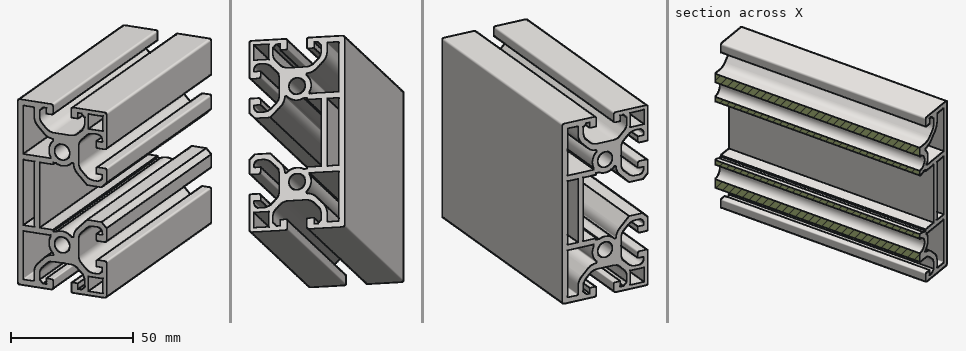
import cadquery as cq
import math

LENGTH = 100.0
WIDTH = 40.0
HEIGHT = 80.0

HALF_WIDTH = WIDTH / 2
HALF_HEIGHT = HEIGHT / 2
CELL_Z = HEIGHT / 4
OVERCUT = 1.0

WALL = 2.5
FLANK_WALL = 2.4
OUTER_RADIUS = 1.0

SCREW_HOLE_DIAMETER = 6.8
BOSS_RADIUS = 5.9
BOSS_CORNER = 5.2
BOSS_FILLET = 0.5

SLOT_HALF_OPENING = 4.1
SLOT_HALF_WIDTH = 10.1
FLANK_OFFSET = 2.1

TOP_FLOOR = 7.8
TOP_LIP_INNER = 7.1
TOP_LIP_THICKNESS = 4.5
TOP_LIP_RADIUS = 0.5
TOP_LIP_EDGE_RADIUS = 0.9
TOP_POCKET_ROOF = 18.0
TOP_POCKET_CHAMFER = 1.5
TOP_FLOOR_RADIUS = 4.8
TOP_FLANK_RADIUS = 4.0

SIDE_FLOOR = 7.5
SIDE_LIP_INNER = 7.0
SIDE_LIP_THICKNESS = 4.7
SIDE_LIP_RADIUS = 0.8
SIDE_POCKET_END = 18.1
SIDE_POCKET_RADIUS = 2.5
SIDE_POCKET_CORNER_RADIUS = 0.5
SIDE_FLOOR_RADIUS = 3.6
SIDE_FLANK_RADIUS = 5.0

BACK_FACE = SIDE_FLOOR - FLANK_WALL
BACK_FLANK_OFFSET = FLANK_WALL * math.sqrt(2) - FLANK_OFFSET
BACK_CORNER = BACK_FACE + BACK_FLANK_OFFSET
BACK_FLANK_RADIUS = 6.0
BOSS_MEETING = math.sqrt(BOSS_RADIUS**2 - BACK_FACE**2)

WEB_TOP = -3.4
WEB_BOTTOM = WEB_TOP - WALL
CHAMBER_LEFT = -HALF_WIDTH + WALL
CHAMBER_RIGHT = -SLOT_HALF_WIDTH - WALL
CHAMBER_ROOF = HALF_WIDTH - WALL
CHAMBER_CORNER_RADIUS = 0.5
CORNER_HOLE_NEAR = 11.8
CORNER_HOLE_FAR = 18.2

RECESS_DEPTH = 12.5
ARM_CHAMFER = 2.3
NOTCH_X = -4.1


def prism(points):
    """Full-length prism from (x, z) points, with z measured from the screw channel axis."""
    section = cq.Workplane("XZ", origin=(0, 0, CELL_Z)).polyline(points).close()
    return section.extrude(LENGTH / 2, both=True)


def cylinder(radius):
    """Full-length cylinder on the screw channel axis."""
    section = cq.Workplane("XZ", origin=(0, 0, CELL_Z)).circle(radius)
    return section.extrude(LENGTH / 2, both=True)


def block(x_min, x_max, z_min, z_max):
    return prism([(x_min, z_min), (x_max, z_min), (x_max, z_max), (x_min, z_max)])


def round_corners(body, radius, *corners):
    """Fillet the lengthwise edges that pass through the given (x, z) corners."""
    for x, z in corners:
        edge = cq.selectors.NearestToPointSelector((x, 0, z + CELL_Z))
        body = body.edges("|Y").edges(edge).fillet(radius)
    return body


def top_slot():
    floor_corner = TOP_FLOOR - FLANK_OFFSET
    flank_top = SLOT_HALF_WIDTH + FLANK_OFFSET
    right = [
        (floor_corner, TOP_FLOOR),
        (SLOT_HALF_WIDTH, flank_top),
        (SLOT_HALF_WIDTH, TOP_POCKET_ROOF - TOP_POCKET_CHAMFER),
        (SLOT_HALF_WIDTH - TOP_POCKET_CHAMFER, TOP_POCKET_ROOF),
        (TOP_LIP_INNER, TOP_POCKET_ROOF),
        (TOP_LIP_INNER, HALF_WIDTH - TOP_LIP_THICKNESS),
        (SLOT_HALF_OPENING, HALF_WIDTH - TOP_LIP_THICKNESS),
        (SLOT_HALF_OPENING, HALF_WIDTH + OVERCUT),
    ]
    left = [(-x, z) for x, z in reversed(right)]
    slot = prism(right + left)
    for side in (-1, 1):
        lip_corner = (side * SLOT_HALF_OPENING, HALF_WIDTH - TOP_LIP_THICKNESS)
        slot = round_corners(slot, TOP_FLOOR_RADIUS, (side * floor_corner, TOP_FLOOR))
        slot = round_corners(slot, TOP_FLANK_RADIUS, (side * SLOT_HALF_WIDTH, flank_top))
        slot = round_corners(slot, TOP_LIP_RADIUS, lip_corner)
    return slot


def side_slot():
    lip_x = HALF_WIDTH - SIDE_LIP_THICKNESS
    floor_corner = SIDE_FLOOR - FLANK_OFFSET
    flank_end = SLOT_HALF_WIDTH + FLANK_OFFSET
    upper = [
        (HALF_WIDTH + OVERCUT, SLOT_HALF_OPENING),
        (lip_x, SLOT_HALF_OPENING),
        (lip_x, SIDE_LIP_INNER),
        (SIDE_POCKET_END, SIDE_LIP_INNER),
        (SIDE_POCKET_END, SLOT_HALF_WIDTH),
        (flank_end, SLOT_HALF_WIDTH),
        (SIDE_FLOOR, floor_corner),
    ]
    lower = [(x, -z) for x, z in reversed(upper)]
    slot = prism(upper + lower)
    for side in (-1, 1):
        slot = round_corners(slot, SIDE_FLOOR_RADIUS, (SIDE_FLOOR, side * floor_corner))
        slot = round_corners(slot, SIDE_FLANK_RADIUS, (flank_end, side * SLOT_HALF_WIDTH))
        slot = round_corners(slot, SIDE_POCKET_CORNER_RADIUS, (SIDE_POCKET_END, side * SIDE_LIP_INNER))
        slot = round_corners(slot, SIDE_POCKET_RADIUS, (SIDE_POCKET_END, side * SLOT_HALF_WIDTH))
        slot = round_corners(slot, SIDE_LIP_RADIUS, (lip_x, side * SLOT_HALF_OPENING))
    return slot


def boss():
    return cylinder(BOSS_RADIUS).union(block(-BOSS_CORNER, 0, -BOSS_CORNER, 0))


def upper_chamber():
    wall_corner = -CHAMBER_RIGHT - BACK_FLANK_OFFSET
    chamber = prism([
        (CHAMBER_LEFT, WEB_TOP),
        (0, WEB_TOP),
        (0, BACK_FACE),
        (-BACK_CORNER, BACK_FACE),
        (CHAMBER_RIGHT, wall_corner),
        (CHAMBER_RIGHT, CHAMBER_ROOF),
        (CHAMBER_LEFT, CHAMBER_ROOF),
    ])
    chamber = round_corners(
        chamber, BACK_FLANK_RADIUS, (-BACK_CORNER, BACK_FACE), (CHAMBER_RIGHT, wall_corner)
    )
    chamber = round_corners(
        chamber, CHAMBER_CORNER_RADIUS, (CHAMBER_RIGHT, CHAMBER_ROOF), (CHAMBER_LEFT, CHAMBER_ROOF)
    )
    chamber = chamber.cut(boss())
    return round_corners(chamber, BOSS_FILLET, (-BOSS_MEETING, BACK_FACE))


def side_recess():
    """Upper half of the recess between the side slots, down to Z = 0."""
    recess = prism([
        (-SLOT_HALF_WIDTH, -CELL_Z),
        (-SLOT_HALF_WIDTH, WEB_BOTTOM),
        (NOTCH_X, WEB_BOTTOM),
        (NOTCH_X, -BOSS_CORNER),
        (0, -BOSS_CORNER),
        (0, -BOSS_MEETING),
        (BACK_FACE, -BOSS_MEETING),
        (BACK_FACE, -BACK_CORNER),
        (RECESS_DEPTH - BACK_FLANK_OFFSET, -RECESS_DEPTH),
        (HALF_WIDTH - ARM_CHAMFER, -RECESS_DEPTH),
        (HALF_WIDTH + OVERCUT, -RECESS_DEPTH + ARM_CHAMFER + OVERCUT),
        (HALF_WIDTH + OVERCUT, -CELL_Z),
    ])
    recess = round_corners(recess, BACK_FLANK_RADIUS, (BACK_FACE, -BACK_CORNER))
    recess = recess.cut(boss())
    return round_corners(recess, BOSS_FILLET, (BACK_FACE, -BOSS_MEETING))


def upper_half():
    half = block(-HALF_WIDTH, HALF_WIDTH, -CELL_Z, HALF_HEIGHT - CELL_Z)
    voids = [
        cylinder(SCREW_HOLE_DIAMETER / 2),
        top_slot(),
        side_slot(),
        upper_chamber(),
        side_recess(),
        block(CORNER_HOLE_NEAR, CORNER_HOLE_FAR, CORNER_HOLE_NEAR, CORNER_HOLE_FAR),
        block(CHAMBER_LEFT, CHAMBER_RIGHT, -CELL_Z, WEB_BOTTOM),
    ]
    for void in voids:
        half = half.cut(void)
    half = round_corners(half, OUTER_RADIUS, (-HALF_WIDTH, HALF_WIDTH), (HALF_WIDTH, HALF_WIDTH))
    half = round_corners(
        half, TOP_LIP_EDGE_RADIUS, (-SLOT_HALF_OPENING, HALF_WIDTH), (SLOT_HALF_OPENING, HALF_WIDTH)
    )
    return round_corners(
        half,
        SIDE_LIP_RADIUS,
        (HALF_WIDTH, SLOT_HALF_OPENING),
        (HALF_WIDTH, -SLOT_HALF_OPENING),
    )


half = upper_half()
result = half.union(half.mirror("XY")).clean()